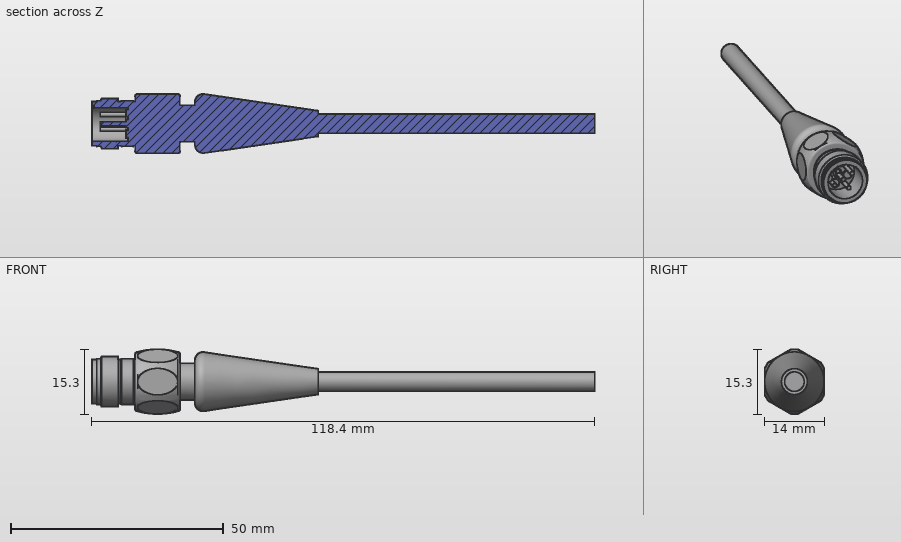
import cadquery as cq
import math

TOTAL_LENGTH = 118.38

NOSE_DIAMETER = 10.5
THREAD_DIAMETER = 11.9
RELIEF_DIAMETER = 10.8
NOSE_END = 1.1
THREAD_START = 2.3
THREAD_CHAMFER = 0.25
THREAD_END = 6.2
GROOVE_END = 7.0
GROOVE_CHAMFER = 0.3
UNDERCUT_START = 9.75

SOCKET_DIAMETER = 8.3
SOCKET_DEPTH = 8.5
CONTACT_OVERLAP = 0.5
SOCKET_BASE = SOCKET_DEPTH + CONTACT_OVERLAP

PIN_DIAMETER = 1.0
PIN_CIRCLE_DIAMETER = 5.0
PIN_COUNT = 4
FIRST_PIN_ANGLE = 58.0
PIN_TIP = 2.0
BOSS_DIAMETER = 2.0
BOSS_HEIGHT = 0.5
BOSS_START = SOCKET_DEPTH - BOSS_HEIGHT
KEY_DIAMETER = 2.0
KEY_ANGLE = FIRST_PIN_ANGLE - 180 / PIN_COUNT
KEY_TIP = 0.5

NUT_START = 10.15
NUT_END = 20.8
NUT_ACROSS_FLATS = 14.0
NUT_CROWN_DIAMETER = 15.33
NUT_SHOULDER_DIAMETER = 14.0
NUT_ROUNDING = 0.6

NECK_DIAMETER = 8.7
GRIP_START = 24.2
GRIP_END = 53.3
GRIP_DIAMETER = 14.0
GRIP_TAIL_DIAMETER = 6.1
GRIP_ROUNDING = 2.0
CABLE_DIAMETER = 4.6


def cylinder(diameter, start, end, y=0.0, z=0.0):
    """Cylinder along X between two stations."""
    return cq.Workplane("YZ", origin=(start, y, z)).circle(diameter / 2).extrude(end - start)


def revolve_about_x(profile):
    """Turn a closed XY profile about the X axis."""
    return profile.revolve(360, (0, 0, 0), (1, 0, 0))


def make_sleeve():
    """Plug sleeve with a thread land, grooves on both sides and an open socket."""
    profile = (
        cq.Workplane("XY")
        .moveTo(0, 0)
        .lineTo(0, NOSE_DIAMETER / 2)
        .lineTo(NOSE_END, NOSE_DIAMETER / 2)
        .lineTo(NOSE_END, RELIEF_DIAMETER / 2)
        .lineTo(THREAD_START - THREAD_CHAMFER, RELIEF_DIAMETER / 2)
        .lineTo(THREAD_START, THREAD_DIAMETER / 2)
        .lineTo(THREAD_END, THREAD_DIAMETER / 2)
        .lineTo(THREAD_END, NOSE_DIAMETER / 2)
        .lineTo(GROOVE_END - GROOVE_CHAMFER, NOSE_DIAMETER / 2)
        .lineTo(GROOVE_END, RELIEF_DIAMETER / 2)
        .lineTo(UNDERCUT_START, RELIEF_DIAMETER / 2)
        .lineTo(UNDERCUT_START, NOSE_DIAMETER / 2)
        .lineTo(NUT_START, NOSE_DIAMETER / 2)
        .lineTo(NUT_START, 0)
        .close()
    )
    return revolve_about_x(profile).cut(cylinder(SOCKET_DIAMETER, 0, SOCKET_DEPTH))


def circle_point(diameter, degrees):
    """Y and Z of a point on a circle about the X axis."""
    angle = math.radians(degrees)
    return diameter / 2 * math.cos(angle), diameter / 2 * math.sin(angle)


def make_contacts():
    """Pins on the socket floor, with round bosses on the axis and midway between the outer pins."""
    contacts = cylinder(PIN_DIAMETER, PIN_TIP, SOCKET_BASE)
    contacts = contacts.union(cylinder(BOSS_DIAMETER, BOSS_START, SOCKET_BASE))
    pitch_angle = 360 / PIN_COUNT
    for index in range(PIN_COUNT):
        pin_angle = FIRST_PIN_ANGLE + index * pitch_angle
        pin_y, pin_z = circle_point(PIN_CIRCLE_DIAMETER, pin_angle)
        boss_y, boss_z = circle_point(PIN_CIRCLE_DIAMETER, pin_angle + pitch_angle / 2)
        contacts = contacts.union(cylinder(PIN_DIAMETER, PIN_TIP, SOCKET_BASE, pin_y, pin_z))
        contacts = contacts.union(cylinder(BOSS_DIAMETER, BOSS_START, SOCKET_BASE, boss_y, boss_z))
    return contacts


def make_key():
    """Rounded key running along the socket wall."""
    y, z = circle_point(SOCKET_DIAMETER, KEY_ANGLE)
    rod = cylinder(KEY_DIAMETER, KEY_TIP, SOCKET_BASE, y, z)
    return rod.intersect(cylinder(NOSE_DIAMETER, 0, SOCKET_BASE))


def make_nut():
    """Hexagon with corners on Z, rounded by a barrel-shaped turned envelope."""
    corner_diameter = NUT_ACROSS_FLATS / math.cos(math.pi / 6)
    hexagon = (
        cq.Workplane("YZ", origin=(NUT_START, 0, 0))
        .transformed(rotate=(0, 0, 90))
        .polygon(6, corner_diameter)
        .extrude(NUT_END - NUT_START)
    )
    shoulder_radius = NUT_SHOULDER_DIAMETER / 2
    middle = (NUT_START + NUT_END) / 2
    envelope = (
        cq.Workplane("XY")
        .moveTo(NUT_START, 0)
        .lineTo(NUT_START, shoulder_radius - NUT_ROUNDING)
        .radiusArc((NUT_START + NUT_ROUNDING, shoulder_radius), NUT_ROUNDING)
        .threePointArc((middle, NUT_CROWN_DIAMETER / 2), (NUT_END - NUT_ROUNDING, shoulder_radius))
        .radiusArc((NUT_END, shoulder_radius - NUT_ROUNDING), NUT_ROUNDING)
        .lineTo(NUT_END, 0)
        .close()
    )
    return hexagon.intersect(revolve_about_x(envelope))


def make_grip():
    """Strain-relief grip: a rounded front shoulder running tangent into a long taper."""
    tail_radius = GRIP_TAIL_DIAMETER / 2
    center_x = GRIP_START + GRIP_ROUNDING
    center_radius = GRIP_DIAMETER / 2 - GRIP_ROUNDING
    run = GRIP_END - center_x
    rise = center_radius - tail_radius
    taper_angle = math.atan2(rise, run) + math.asin(GRIP_ROUNDING / math.hypot(run, rise))
    tangent_point = (
        center_x + GRIP_ROUNDING * math.sin(taper_angle),
        center_radius + GRIP_ROUNDING * math.cos(taper_angle),
    )
    profile = (
        cq.Workplane("XY")
        .moveTo(GRIP_START, 0)
        .lineTo(GRIP_START, center_radius)
        .radiusArc(tangent_point, GRIP_ROUNDING)
        .lineTo(GRIP_END, tail_radius)
        .lineTo(GRIP_END, 0)
        .close()
    )
    return revolve_about_x(profile)


result = (
    make_sleeve()
    .union(make_contacts())
    .union(make_key())
    .union(make_nut())
    .union(cylinder(NECK_DIAMETER, NUT_END, GRIP_START))
    .union(make_grip())
    .union(cylinder(CABLE_DIAMETER, GRIP_END, TOTAL_LENGTH))
)